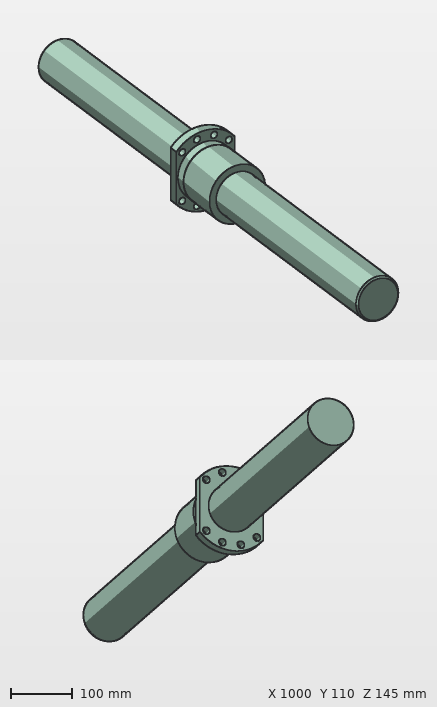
import cadquery as cq
import math

shaft_length = 1000.0
shaft_diameter = 80.0
shaft_end_chamfer = 3.0

flange_start = -shaft_length / 2 + 440.0
flange_thickness = 18.0
flange_diameter = 145.0
flange_width = 110.0
neck_length = 18.0
neck_diameter = 104.0
barrel_diameter = 105.0
nut_length = 118.0
bore_diameter = shaft_diameter

bolt_circle_diameter = 124.0
bolt_hole_diameter = 12.0
bolt_hole_angles = [15.0, 45.0]
oil_hole_diameter = 6.0
oil_hole_angle = 30.0


def rod(start, length, diameter):
    """A round bar along the X axis, beginning at X = start."""
    return cq.Workplane("YZ", origin=(start, 0, 0)).circle(diameter / 2).extrude(length)


def make_shaft():
    shaft = rod(-shaft_length / 2, shaft_length, shaft_diameter)
    return shaft.faces(">X").chamfer(shaft_end_chamfer)


def make_flange():
    """A round disc with two parallel flats facing -Y and +Y."""
    disc = rod(flange_start, flange_thickness, flange_diameter)
    flats = cq.Workplane("XY").box(2 * shaft_length, flange_width, 2 * flange_diameter)
    return disc.intersect(flats)


def cut_bolt_holes(nut):
    """Through holes, mirrored about both the XY and XZ planes."""
    for angle in bolt_hole_angles:
        y = bolt_circle_diameter / 2 * math.sin(math.radians(angle))
        z = bolt_circle_diameter / 2 * math.cos(math.radians(angle))
        centers = [(y, z), (-y, z), (y, -z), (-y, -z)]
        holes = (
            cq.Workplane("YZ", origin=(flange_start, 0, 0))
            .pushPoints(centers)
            .circle(bolt_hole_diameter / 2)
            .extrude(flange_thickness)
        )
        nut = nut.cut(holes)
    return nut


def cut_oil_hole(nut):
    """A radial hole from the flange rim to the bore, tilted toward +Y."""
    hole = (
        cq.Workplane("XY", origin=(flange_start + flange_thickness / 2, 0, 0))
        .circle(oil_hole_diameter / 2)
        .extrude(flange_diameter)
        .rotate((0, 0, 0), (1, 0, 0), -oil_hole_angle)
    )
    return nut.cut(hole)


def make_nut():
    neck_start = flange_start + flange_thickness
    barrel_start = neck_start + neck_length
    barrel_length = nut_length - flange_thickness - neck_length
    nut = make_flange()
    nut = nut.union(rod(neck_start, neck_length, neck_diameter))
    nut = nut.union(rod(barrel_start, barrel_length, barrel_diameter))
    nut = nut.cut(rod(flange_start, nut_length, bore_diameter))
    nut = cut_bolt_holes(nut)
    return cut_oil_hole(nut)


shaft = make_shaft()
nut = make_nut()

result = cq.Compound.makeCompound([shaft.val(), *nut.vals()])